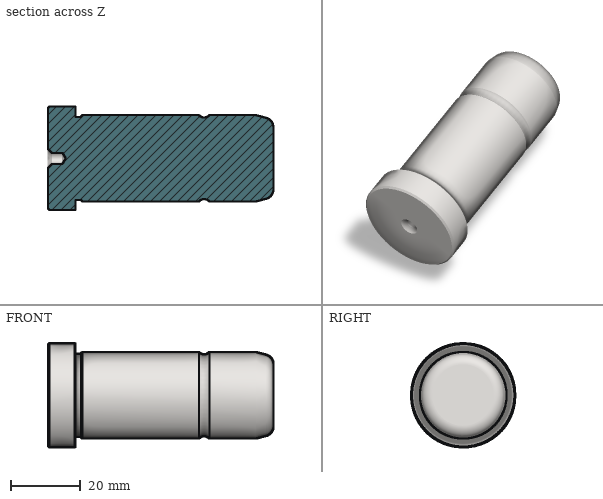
import cadquery as cq
import math

length = 65.0
head_radius = 15.0
head_length = 8.0
head_front_chamfer = 0.5
head_back_chamfer = 0.25
body_radius = 12.5

relief_depth = 0.45
relief_flat_end = 9.5

groove_center = 45.0
groove_half_width = 1.5
groove_depth = 0.65

taper_start = 60.0
taper_angle = math.radians(15)
nose_radius = 3.0

countersink_radius = 2.7
pilot_radius = 1.5
countersink_half_angle = math.radians(45)
pilot_length = 3.0
tip_half_angle = math.radians(59)


def nose_point(angle):
    """Point on the nose arc, with the angle measured from the X axis."""
    center_x = length - nose_radius
    tangent_x = center_x + nose_radius * math.sin(taper_angle)
    tangent_r = body_radius - (tangent_x - taper_start) * math.tan(taper_angle)
    center_r = tangent_r - nose_radius * math.cos(taper_angle)
    return (
        center_x + nose_radius * math.cos(angle),
        center_r + nose_radius * math.sin(angle),
    )


def revolve_about_x(profile):
    return profile.close().revolve(360, (0, 0, 0), (1, 0, 0))


def make_pillar():
    relief_radius = body_radius - relief_depth
    nose_start_angle = math.pi / 2 - taper_angle
    profile = (
        cq.Workplane("XY")
        .moveTo(0, 0)
        .lineTo(0, head_radius - head_front_chamfer)
        .lineTo(head_front_chamfer, head_radius)
        .lineTo(head_length - head_back_chamfer, head_radius)
        .lineTo(head_length, head_radius - head_back_chamfer)
        .lineTo(head_length, relief_radius)
        .lineTo(relief_flat_end, relief_radius)
        .lineTo(relief_flat_end + relief_depth, body_radius)
        .lineTo(groove_center - groove_half_width, body_radius)
        .threePointArc(
            (groove_center, body_radius - groove_depth),
            (groove_center + groove_half_width, body_radius),
        )
        .lineTo(taper_start, body_radius)
        .lineTo(*nose_point(nose_start_angle))
        .threePointArc(nose_point(nose_start_angle / 2), nose_point(0))
        .lineTo(length, 0)
    )
    return revolve_about_x(profile)


def make_center_hole():
    countersink_depth = (countersink_radius - pilot_radius) / math.tan(countersink_half_angle)
    pilot_end = countersink_depth + pilot_length
    tip = pilot_end + pilot_radius / math.tan(tip_half_angle)
    profile = (
        cq.Workplane("XY")
        .moveTo(0, 0)
        .lineTo(0, countersink_radius)
        .lineTo(countersink_depth, pilot_radius)
        .lineTo(pilot_end, pilot_radius)
        .lineTo(tip, 0)
    )
    return revolve_about_x(profile)


result = make_pillar().cut(make_center_hole())